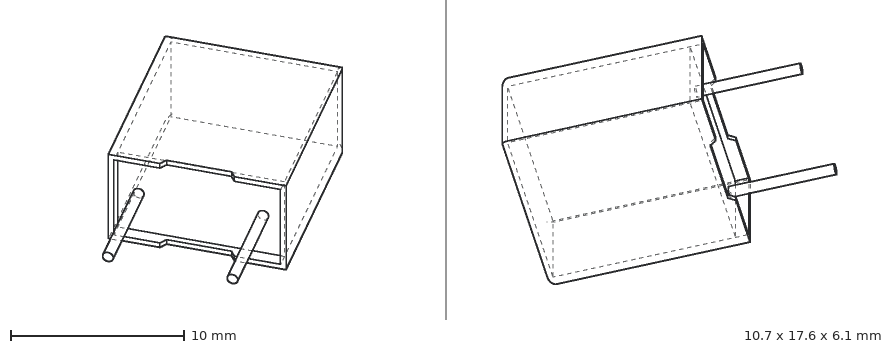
import cadquery as cq

TOTAL_LENGTH = 17.6
CASE_WIDTH = 10.7
CASE_HEIGHT = 6.1
LEAD_PROJECTION = 5.55
CASE_LENGTH = TOTAL_LENGTH - LEAD_PROJECTION
WALL = 0.33
BACK_EDGE_RADIUS = 0.5

NOTCH_RIM_WIDTH = 4.47
NOTCH_FLOOR_WIDTH = 3.9
NOTCH_DEPTH = 0.4

FILL_RECESS = 0.8
LEAD_DIAMETER = 0.65
LEAD_PITCH = 7.5

CAVITY_WIDTH = CASE_WIDTH - 2 * WALL
CAVITY_HEIGHT = CASE_HEIGHT - 2 * WALL
CAVITY_END = CASE_LENGTH - WALL


def block(width, height, y_start, y_end):
    """Box centred on the Y axis, spanning y_start to y_end."""
    length = y_end - y_start
    return cq.Workplane("XY").box(width, length, height).translate((0, y_start + length / 2, 0))


def rim_notch():
    """Trapezoidal cutter crossing both broad walls at the rim."""
    return (
        cq.Workplane("XY")
        .polyline([
            (-NOTCH_RIM_WIDTH / 2, 0),
            (-NOTCH_FLOOR_WIDTH / 2, NOTCH_DEPTH),
            (NOTCH_FLOOR_WIDTH / 2, NOTCH_DEPTH),
            (NOTCH_RIM_WIDTH / 2, 0),
        ])
        .close()
        .extrude(CASE_HEIGHT / 2, both=True)
    )


def make_case():
    """Box with a rounded closed back, open at the notched rim."""
    shell = block(CASE_WIDTH, CASE_HEIGHT, 0, CASE_LENGTH)
    shell = shell.faces(">Y").edges().fillet(BACK_EDGE_RADIUS)
    cavity = block(CAVITY_WIDTH, CAVITY_HEIGHT, 0, CAVITY_END)
    return shell.cut(cavity).cut(rim_notch())


def make_fill():
    """Potting that fills the cavity up to a face recessed below the rim."""
    return block(CAVITY_WIDTH, CAVITY_HEIGHT, FILL_RECESS, CAVITY_END)


def make_lead(x):
    """Round wire standing on the fill face and running out past the rim."""
    return (
        cq.Workplane("XZ", origin=(x, FILL_RECESS, 0))
        .circle(LEAD_DIAMETER / 2)
        .extrude(FILL_RECESS + LEAD_PROJECTION)
    )


case = make_case()
fill = make_fill()
leads = [make_lead(side * LEAD_PITCH / 2) for side in (-1, 1)]

result = cq.Compound.makeCompound([case.val(), fill.val(), *[lead.val() for lead in leads]])